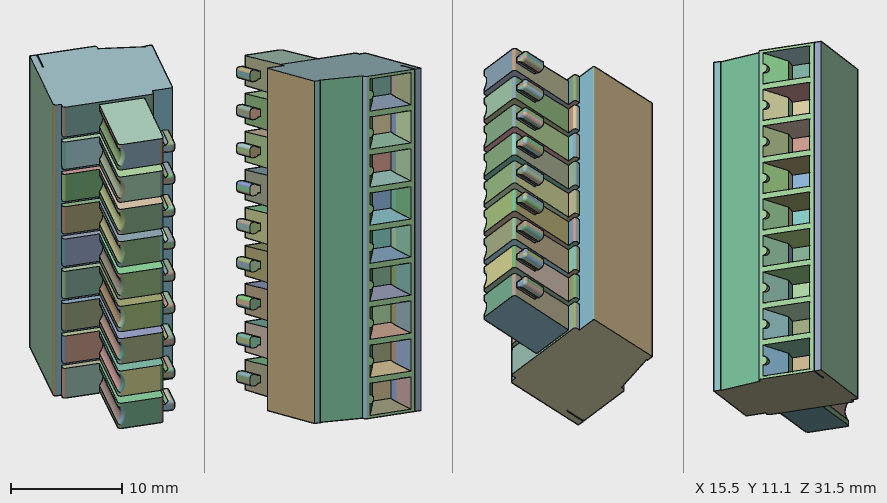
import cadquery as cq
import math

pole_count = 9
pitch = 3.5
row_length = pole_count * pitch

housing_width = 11.1
housing_back = 8.33
step_y = 6.25
step_depth = 0.46
step_radius = 0.28
lip_y = 10.45
lip_front = 1.15
slope_end = 1.25
slope_end_y = 10.37
lower_back_radius = 0.3
upper_back_radius = 0.1

joint_y = 0.65
joint_width = 0.08
joint_depth = 2.0

collar_back = 8.88
collar_bottom = 0.7
collar_top = 9.2
collar_height = 2.96
collar_radius = 0.25

plug_tip = 15.5
plug_bottom = 4.1
plug_top = 8.33
plug_tip_height = 2.74
plug_tip_radius = 0.31

groove_diameter = 2.8
groove_width = 1.8

key_start = 13.0
key_end = 15.23
key_height = 1.17
key_width = 1.06
key_neck_width = 0.7
key_neck_height = 0.21
key_head_start = 0.53
key_radius = 0.31
key_tip_radius = 0.3

entry_bottom = 1.14
entry_top = 5.75
entry_height = 2.96
throat_bottom = 1.38
throat_top = 4.05
throat_depth = 1.9
floor_height = 1.8
floor_depth = 2.7

pin_diameter = 0.86


def box(x_range, y_range, z_range):
    """Axis-aligned box between the given limits."""
    size = [high - low for low, high in (x_range, y_range, z_range)]
    corner = (x_range[0], y_range[0], z_range[0])
    return cq.Workplane("XY").box(*size, centered=False).translate(corner)


def make_housing():
    outline = [
        (0, 0),
        (housing_back, 0),
        (housing_back, housing_width),
        (lip_front, housing_width),
        (lip_front, lip_y),
        (slope_end, lip_y),
        (slope_end, slope_end_y),
        (step_depth, step_y),
        (0, step_y),
    ]
    housing = cq.Workplane("XY").polyline(outline).close().extrude(row_length)
    middle = row_length / 2

    def edge_at(x, y):
        return cq.selectors.NearestToPointSelector((x, y, middle))

    housing = housing.edges(edge_at(0, step_y)).fillet(step_radius)
    housing = housing.edges(edge_at(housing_back, 0)).fillet(lower_back_radius)
    housing = housing.edges(edge_at(housing_back, housing_width)).fillet(upper_back_radius)
    joint = box((0, joint_depth), (joint_y, joint_y + joint_width), (0, row_length))
    return housing.cut(joint)


def make_collar(index):
    """Collar of one pole; the first and last reach the ends of the housing."""
    margin = (pitch - collar_height) / 2
    z_low = 0 if index == 0 else index * pitch + margin
    z_high = row_length if index == pole_count - 1 else (index + 1) * pitch - margin
    collar = box((housing_back, collar_back), (collar_bottom, collar_top), (z_low, z_high))
    return collar.edges(">X and |Z").fillet(collar_radius)


def make_plug(z):
    outline = [
        (housing_back, -collar_height / 2),
        (collar_back, -collar_height / 2),
        (plug_tip, -plug_tip_height / 2),
        (plug_tip, plug_tip_height / 2),
        (collar_back, collar_height / 2),
        (housing_back, collar_height / 2),
    ]
    plug = cq.Workplane("XZ", origin=(0, plug_bottom, 0)).polyline(outline).close()
    plug = plug.extrude(plug_bottom - plug_top)
    groove_radius = groove_diameter / 2
    axis_offset = math.sqrt(groove_radius**2 - (groove_width / 2) ** 2)
    groove = (
        cq.Workplane("YZ", origin=(collar_back, plug_bottom - axis_offset, 0))
        .circle(groove_radius)
        .extrude(plug_tip - collar_back)
    )
    plug = plug.cut(groove)
    plug = plug.faces(">X").edges("<Y or >Y or %CIRCLE").fillet(plug_tip_radius)
    return plug.translate((0, 0, z))


def make_key(z):
    """Dovetail key, its head rounded along the outer edges and at the tip."""
    outline = [
        (0, key_neck_width / 2),
        (key_neck_height, key_neck_width / 2),
        (key_head_start, key_width / 2),
        (key_height, key_width / 2),
        (key_height, -key_width / 2),
        (key_head_start, -key_width / 2),
        (key_neck_height, -key_neck_width / 2),
        (0, -key_neck_width / 2),
    ]
    key = cq.Workplane("YZ", origin=(key_start, plug_top, 0)).polyline(outline).close()
    key = key.extrude(key_end - key_start)
    key = key.edges(">Y and |X").fillet(key_radius)
    head_y = plug_top + key_head_start
    tip_edges = key.faces(">X").edges().filter(lambda edge: edge.Center().y > head_y)
    key = tip_edges.fillet(key_tip_radius)
    return key.translate((0, 0, z))


def make_entry(z):
    """Funnel in Y ending in a straight throat; the side walls close in down to the floor."""
    side_outline = [
        (0, entry_bottom),
        (throat_depth, throat_bottom),
        (floor_depth, throat_bottom),
        (floor_depth, throat_top),
        (throat_depth, throat_top),
        (0, entry_top),
    ]
    side = cq.Workplane("XY").polyline(side_outline).close().extrude(entry_height / 2, both=True)
    plan_outline = [
        (0, -entry_height / 2),
        (floor_depth, -floor_height / 2),
        (floor_depth, floor_height / 2),
        (0, entry_height / 2),
    ]
    plan = cq.Workplane("XZ").polyline(plan_outline).close().extrude(-entry_top)
    pin = cq.Workplane("YZ", origin=(0, entry_top, 0)).circle(pin_diameter / 2).extrude(throat_depth)
    return side.intersect(plan).cut(pin).translate((0, 0, z))


result = make_housing()
for pole in range(pole_count):
    pole_z = (pole + 0.5) * pitch
    result = result.union(make_collar(pole))
    result = result.union(make_plug(pole_z))
    result = result.union(make_key(pole_z))
    result = result.cut(make_entry(pole_z))